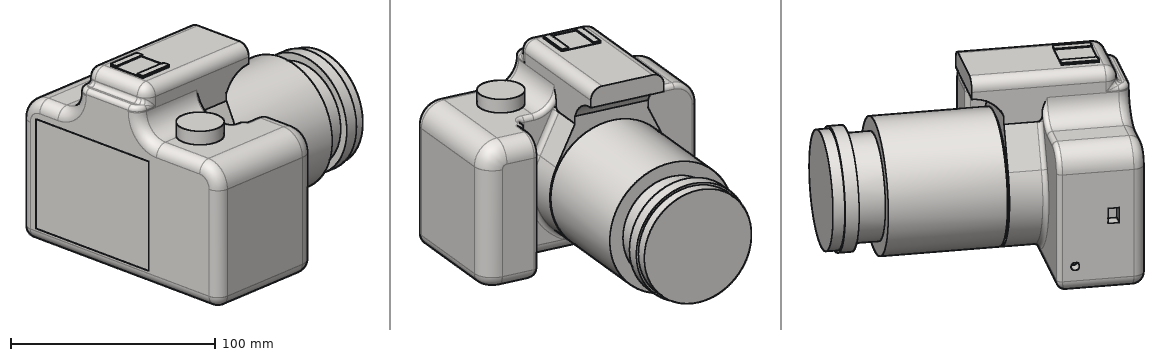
import cadquery as cq
import math


LARGE_FILLET = 12.7
EDGE_FILLET = 6.3
SMALL_FILLET = 2.5
GRIP_FRONT_FILLET = 10.1

BODY_WIDTH = 133.1
BODY_DEPTH = 44.6
SHOULDER_HEIGHT = 76.2

SCREEN_THICKNESS = 0.2
SCREEN_LEFT = 10.5
SCREEN_WIDTH = 75.9
SCREEN_BOTTOM = 7.7
SCREEN_HEIGHT = 58.5

GRIP_FRONT = 70.0
GRIP_LEFT = 102.6
GRIP_STEP = 2.5
GRIP_STEP_FRONT = 50.0
GRIP_ROOT_FILLET = 3.2

HUMP_CENTRE = 58.2
HUMP_WIDTH = 41.0
HUMP_TOP = 101.1
HUMP_FRONT = 79.6
HUMP_NOSE_BOTTOM = 90.8
LEDGE_HEIGHT = 92.0
NOSE_ARC_RADIUS = 17.4

LENS_HEIGHT = 39.6
LENS_RADIUS = 34.6
COLLAR_FRONT = 63.6
LENS_NECK_RADIUS = 32.3
BARREL_BACK = 64.7
BARREL_FRONT = 124.2
INNER_TUBE_RADIUS = 27.2
INNER_TUBE_FRONT = 138.1
FOCUS_RING_RADIUS = 31.3
FOCUS_RING_FRONT = 145.1
FRONT_RING_RADIUS = 30.0
LENS_FRONT = 151.1 - SCREEN_THICKNESS

DIAL_RADIUS = 11.8
DIAL_HEIGHT = 7.3
DIAL_X = 98.2
DIAL_Y = 24.0

SHOE_WIDTH = 21.8
SHOE_BACK = 14.0
SHOE_LENGTH = 18.9
SHOE_HEIGHT = 1.2
SHOE_BASE_THICKNESS = 0.3
SHOE_LIP_THICKNESS = 0.6
SHOE_LIP_WIDTH = 4.0
SHOE_WALL_INSET = 0.5
SHOE_WALL_THICKNESS = 0.8

SOCKET_DEPTH = 6.3
PORT_BACK = 13.5
PORT_WIDTH = 5.6
PORT_BOTTOM = 35.5
PORT_HEIGHT = 8.0
JACK_RADIUS = 2.1
JACK_Y = 35.5
JACK_Z = 13.9

HUMP_LEFT = HUMP_CENTRE - HUMP_WIDTH / 2
HUMP_RIGHT = HUMP_CENTRE + HUMP_WIDTH / 2
HUMP_BACK = EDGE_FILLET
DIAGONAL = math.sqrt(0.5)
TOLERANCE = 0.02


def block(x_range, y_range, z_range):
    """A box between the two given places along each axis."""
    spans = [high - low for low, high in (x_range, y_range, z_range)]
    return cq.Workplane("XY").box(*spans, centered=False).translate((x_range[0], y_range[0], z_range[0]))


def front_outline():
    """The X-Z outline of the body: rounded shoulders that sweep up into the hump."""
    r = LARGE_FILLET
    bend = r * (1 - DIAGONAL)
    return (
        cq.Workplane("XZ")
        .moveTo(0, 0)
        .lineTo(0, SHOULDER_HEIGHT - r)
        .threePointArc((bend, SHOULDER_HEIGHT - bend), (r, SHOULDER_HEIGHT))
        .lineTo(HUMP_LEFT - r, SHOULDER_HEIGHT)
        .threePointArc((HUMP_LEFT - bend, SHOULDER_HEIGHT + bend), (HUMP_LEFT, SHOULDER_HEIGHT + r))
        .lineTo(HUMP_RIGHT, SHOULDER_HEIGHT + r)
        .threePointArc((HUMP_RIGHT + bend, SHOULDER_HEIGHT + bend), (HUMP_RIGHT + r, SHOULDER_HEIGHT))
        .lineTo(BODY_WIDTH - r, SHOULDER_HEIGHT)
        .threePointArc((BODY_WIDTH - bend, SHOULDER_HEIGHT - bend), (BODY_WIDTH, SHOULDER_HEIGHT - r))
        .lineTo(BODY_WIDTH, 0)
        .close()
    )


def plan_outline():
    """The X-Y outline of the body with the grip standing forward on the right."""
    r = GRIP_ROOT_FILLET
    step_x = GRIP_LEFT - GRIP_STEP
    arc_middle = (step_x - r * (1 - DIAGONAL), BODY_DEPTH + r * (1 - DIAGONAL))
    return (
        cq.Workplane("XY")
        .moveTo(0, 0)
        .lineTo(0, BODY_DEPTH)
        .lineTo(step_x - r, BODY_DEPTH)
        .threePointArc(arc_middle, (step_x, BODY_DEPTH + r))
        .lineTo(step_x, GRIP_STEP_FRONT)
        .lineTo(GRIP_LEFT, GRIP_STEP_FRONT + GRIP_STEP)
        .lineTo(GRIP_LEFT, GRIP_FRONT)
        .lineTo(BODY_WIDTH, GRIP_FRONT)
        .lineTo(BODY_WIDTH, 0)
        .close()
    )


def edges_where(shape, test):
    """The edges of a shape whose bounding box passes the test."""
    return shape.edges().filter(lambda edge: test(edge.BoundingBox()))


def make_shell():
    """The body with its grip, its edges rounded one group after another."""
    neck_height = SHOULDER_HEIGHT + LARGE_FILLET
    shell = front_outline().extrude(-GRIP_FRONT).intersect(plan_outline().extrude(neck_height))

    grip_front_edges = edges_where(
        shell, lambda box: box.ymin > GRIP_FRONT - TOLERANCE and box.xmax > GRIP_LEFT + 1.5 and box.zmax > 1.5
    )
    shell = grip_front_edges.fillet(GRIP_FRONT_FILLET)

    back_edges = edges_where(
        shell, lambda box: box.ymax < TOLERANCE and box.zmin < neck_height - TOLERANCE and box.zmax > TOLERANCE
    )
    shell = back_edges.fillet(EDGE_FILLET)

    shell = edges_where(shell, lambda box: box.zmax < TOLERANCE).fillet(EDGE_FILLET)

    def on_front(box):
        return box.ymin > BODY_DEPTH - TOLERANCE and box.xmax < GRIP_LEFT + TOLERANCE and box.zmax > EDGE_FILLET + 1.5

    def is_inner_upright(box):
        return box.zmin < SHOULDER_HEIGHT / 2 and TOLERANCE < box.xmin and box.ymax < GRIP_FRONT - TOLERANCE

    front_edges = edges_where(shell, lambda box: on_front(box) and not is_inner_upright(box))
    return front_edges.fillet(SMALL_FILLET)


def make_hump():
    """The viewfinder hump, whose nose overhangs the lens with an arched underside."""
    angle = math.asin((HUMP_FRONT - COLLAR_FRONT) / NOSE_ARC_RADIUS)
    arc_centre_z = HUMP_NOSE_BOTTOM - NOSE_ARC_RADIUS

    def nose_point(turn):
        return (
            HUMP_FRONT - NOSE_ARC_RADIUS * math.sin(turn),
            arc_centre_z + NOSE_ARC_RADIUS * math.cos(turn),
        )

    hump = (
        cq.Workplane("YZ")
        .workplane(offset=HUMP_LEFT)
        .moveTo(HUMP_BACK, SHOULDER_HEIGHT)
        .lineTo(HUMP_BACK, HUMP_TOP)
        .lineTo(HUMP_FRONT, HUMP_TOP)
        .lineTo(HUMP_FRONT, HUMP_NOSE_BOTTOM)
        .threePointArc(nose_point(angle / 2), nose_point(angle))
        .lineTo(COLLAR_FRONT, SHOULDER_HEIGHT)
        .close()
        .extrude(HUMP_WIDTH)
    )
    hump = hump.edges("|Z and <Y").fillet(EDGE_FILLET)
    return edges_where(
        hump, lambda box: box.zmin > HUMP_TOP - TOLERANCE and box.ymin < HUMP_FRONT - TOLERANCE
    ).fillet(EDGE_FILLET)


def make_ledge():
    """The step behind the hump, rounded along its top rim."""
    ledge = block(
        (HUMP_LEFT, HUMP_RIGHT), (0, 3 * EDGE_FILLET), (SHOULDER_HEIGHT + LARGE_FILLET, LEDGE_HEIGHT)
    )
    ledge = ledge.edges("|Z and <Y").fillet(EDGE_FILLET)
    rim = edges_where(
        ledge, lambda box: box.zmin > LEDGE_HEIGHT - TOLERANCE and box.ymin < EDGE_FILLET
    )
    return rim.fillet(SMALL_FILLET)


def make_collar():
    """The lens collar: a cylinder with flat flanks rising tangent from it to the sides of the hump."""
    across = HUMP_WIDTH / 2
    up = SHOULDER_HEIGHT - LENS_HEIGHT
    tangent_angle = math.atan2(up, across) - math.acos(LENS_RADIUS / math.hypot(across, up))
    tangent_x = LENS_RADIUS * math.cos(tangent_angle)
    tangent_z = LENS_HEIGHT + LENS_RADIUS * math.sin(tangent_angle)
    back = BODY_DEPTH - EDGE_FILLET
    return (
        cq.Workplane("XZ", origin=(HUMP_CENTRE, back, 0))
        .moveTo(-across, SHOULDER_HEIGHT)
        .lineTo(-tangent_x, tangent_z)
        .threePointArc((0, LENS_HEIGHT - LENS_RADIUS), (tangent_x, tangent_z))
        .lineTo(across, SHOULDER_HEIGHT)
        .close()
        .extrude(back - COLLAR_FRONT)
    )


def make_dial():
    """The round dial standing on the right shoulder."""
    return (
        cq.Workplane("XY", origin=(DIAL_X, DIAL_Y, SHOULDER_HEIGHT)).circle(DIAL_RADIUS).extrude(DIAL_HEIGHT)
    )


def make_screen():
    """The thin plate of the screen on the back face."""
    return block(
        (SCREEN_LEFT, SCREEN_LEFT + SCREEN_WIDTH),
        (-SCREEN_THICKNESS, 0),
        (SCREEN_BOTTOM, SCREEN_BOTTOM + SCREEN_HEIGHT),
    )


def make_hot_shoe():
    """The hot shoe: a base with a rail along each side, each rail with a lip turned inward."""
    y_range = (SHOE_BACK, SHOE_BACK + SHOE_LENGTH)
    left = HUMP_CENTRE - SHOE_WIDTH / 2
    wall_left = left + SHOE_WALL_INSET
    top = HUMP_TOP + SHOE_HEIGHT
    rail_wall = block((wall_left, wall_left + SHOE_WALL_THICKNESS), y_range, (HUMP_TOP, top))
    lip = block((left, left + SHOE_LIP_WIDTH), y_range, (top - SHOE_LIP_THICKNESS, top))
    base = block((left, left + SHOE_WIDTH), y_range, (HUMP_TOP, HUMP_TOP + SHOE_BASE_THICKNESS))
    rail = rail_wall.union(lip)
    return base.union(rail).union(rail.mirror("YZ", (HUMP_CENTRE, 0, 0)))


def make_sockets():
    """The rectangular port and the round jack cut into the left side."""
    port = block(
        (0, SOCKET_DEPTH), (PORT_BACK, PORT_BACK + PORT_WIDTH), (PORT_BOTTOM, PORT_BOTTOM + PORT_HEIGHT)
    )
    jack = cq.Workplane("YZ", origin=(0, JACK_Y, JACK_Z)).circle(JACK_RADIUS).extrude(SOCKET_DEPTH)
    return port.union(jack)


def make_lens():
    """The lens, turned about its own axis from the neck at the collar to the front ring."""
    steps = [
        (LENS_NECK_RADIUS, COLLAR_FRONT, BARREL_BACK),
        (LENS_RADIUS, BARREL_BACK, BARREL_FRONT),
        (INNER_TUBE_RADIUS, BARREL_FRONT, INNER_TUBE_FRONT),
        (FOCUS_RING_RADIUS, INNER_TUBE_FRONT, FOCUS_RING_FRONT),
        (FRONT_RING_RADIUS, FOCUS_RING_FRONT, LENS_FRONT),
    ]
    profile = cq.Workplane("XY", origin=(HUMP_CENTRE, 0, LENS_HEIGHT)).moveTo(0, COLLAR_FRONT)
    for radius, back, front in steps:
        profile = profile.lineTo(radius, back).lineTo(radius, front)
    return profile.lineTo(0, LENS_FRONT).close().revolve(360, (0, 0), (0, 1))


def make_camera():
    """The camera: the shell with everything that is part of it."""
    camera = make_shell().union(make_ledge()).union(make_hump())
    hump_foot = edges_where(
        camera,
        lambda box: abs(box.zmin - LEDGE_HEIGHT) < TOLERANCE
        and HUMP_BACK - TOLERANCE < box.ymin
        and box.ymax < 2 * EDGE_FILLET,
    )
    camera = hump_foot.fillet(SMALL_FILLET).union(make_collar())
    collar_root = edges_where(
        camera,
        lambda box: abs(box.ymin - BODY_DEPTH) < TOLERANCE
        and abs(box.ymax - BODY_DEPTH) < TOLERANCE
        and box.zmax < SHOULDER_HEIGHT + TOLERANCE
        and HUMP_CENTRE - LENS_RADIUS - TOLERANCE < box.xmin
        and box.xmax < HUMP_CENTRE + LENS_RADIUS + TOLERANCE,
    )
    camera = collar_root.fillet(SMALL_FILLET)
    for feature in (make_dial(), make_screen(), make_hot_shoe()):
        camera = camera.union(feature)
    return camera.cut(make_sockets())


camera = make_camera()
lens = make_lens()
result = cq.Compound.makeCompound([camera.val(), lens.val()])